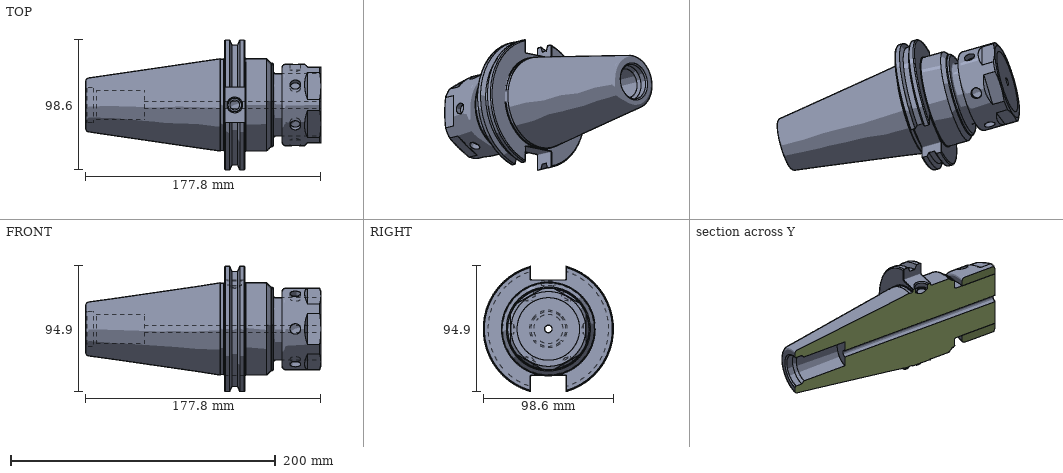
import cadquery as cq
import math

TOTAL_LENGTH = 177.8

GAUGE_X = 101.5
GAUGE_DIAMETER = 69.9
GAUGE_RADIUS = GAUGE_DIAMETER / 2
TAPER_RATIO = 7 / 24
TAIL_RADIUS = GAUGE_RADIUS - GAUGE_X * TAPER_RATIO / 2
TAIL_FILLET = 2.7
RELIEF_CHAMFER = 0.4
RELIEF_RADIUS = GAUGE_RADIUS - RELIEF_CHAMFER
FLANGE_ROOT_FILLET = 0.5

FLANGE_X = 104.7
FLANGE_WIDTH = 15.8
FLANGE_END_X = FLANGE_X + FLANGE_WIDTH
FLANGE_MID_X = FLANGE_X + FLANGE_WIDTH / 2
FLANGE_RADIUS = 49.3
FLANGE_CHAMFER = 0.9
GROOVE_DEPTH = 3.7
GROOVE_FLOOR_WIDTH = 4.3
GROOVE_SIDE_ANGLE = 24
SLOT_WIDTH = 26.8
SLOT_CORNER_RADIUS = 0.7
SLOT_EDGE_CHAMFER = 0.4
TOP_SLOT_FLOOR = 37.2
BOTTOM_SLOT_FLOOR = 35.2

CHIP_HOLE_DIAMETER = 10.1
CHIP_HOLE_MOUTH_DIAMETER = 12.0
CHIP_HOLE_DEPTH = 4.5
CHIP_PILOT_DIAMETER = 7.5
CHIP_PILOT_DEPTH = 0.9

BODY_RADIUS = GAUGE_RADIUS
BODY_END_X = 136.7
COLLAR_X = 140.0
COLLAR_RADIUS = 31.8
COLLAR_CHAMFER = 1.2
COLLAR_END_X = 142.0
NECK_RADIUS = 23.6
NECK_FILLET = 1.2

BORE_MOUTH_DIAMETER = 28.5
BORE_PILOT_DIAMETER = 26.3
BORE_PILOT_END_X = 6.0
BORE_DIAMETER = 22.0
BORE_DEPTH = 44.5
THROUGH_HOLE_DIAMETER = 5.5

NUT_X = 148.3
NUT_RADIUS = 31.0
NUT_REAR_FILLET = 3.0
NUT_FRONT_CHAMFER_LENGTH = 1.0
NUT_FRONT_RADIUS = 28.3
FLAT_COUNT = 6
FLAT_APOTHEM = 28.6
FLAT_X = 167.7
FLAT_RUNOUT_ANGLE = 45
SPANNER_HOLE_DIAMETER = 8.0
SPANNER_HOLE_X = 158.5
SPANNER_HOLE_DEPTH = 4.5

DRILL_TIP_ANGLE = 140

CLEARANCE = 1.8


def revolve_about_x(profile):
    """Turn an XY outline, with Y as the radius, about the X axis."""
    return profile.close().revolve(360, (0, 0, 0), (1, 0, 0))


def drill_tool(diameter, depth):
    """Drill on the Z axis entering the plane Z = 0: its pointed tip lies below -depth."""
    radius = diameter / 2
    tip_length = radius / math.tan(math.radians(DRILL_TIP_ANGLE / 2))
    return (
        cq.Workplane("XZ")
        .moveTo(0, depth)
        .lineTo(radius, depth)
        .lineTo(radius, -depth)
        .lineTo(0, -depth - tip_length)
        .close()
        .revolve(360, (0, 0, 0), (0, 1, 0))
    )


def taper_shank():
    """Steep taper with a rounded tail and a relief neck before the flange."""
    shank = revolve_about_x(
        cq.Workplane("XY")
        .lineTo(0, TAIL_RADIUS)
        .lineTo(GAUGE_X, GAUGE_RADIUS)
        .lineTo(GAUGE_X + RELIEF_CHAMFER, RELIEF_RADIUS)
        .lineTo(FLANGE_X - FLANGE_ROOT_FILLET, RELIEF_RADIUS)
        .radiusArc((FLANGE_X, RELIEF_RADIUS + FLANGE_ROOT_FILLET), -FLANGE_ROOT_FILLET)
        .lineTo(FLANGE_X, 0)
    )
    return shank.faces("<X").edges().fillet(TAIL_FILLET)


def drive_slot(floor_height):
    """Cutter for one drive slot that is open towards +Z."""
    slot_height = FLANGE_RADIUS - floor_height + CLEARANCE
    return (
        cq.Workplane("XY")
        .box(FLANGE_WIDTH, SLOT_WIDTH, slot_height, centered=(True, True, False))
        .edges("|X and <Z")
        .fillet(SLOT_CORNER_RADIUS)
        .translate((FLANGE_MID_X, 0, floor_height))
    )


def flange():
    """Grooved disc with two drive slots whose edges are broken on both faces."""
    groove_floor_radius = FLANGE_RADIUS - GROOVE_DEPTH
    floor_half = GROOVE_FLOOR_WIDTH / 2
    mouth_half = floor_half + GROOVE_DEPTH * math.tan(math.radians(GROOVE_SIDE_ANGLE))
    disc = revolve_about_x(
        cq.Workplane("XY")
        .moveTo(FLANGE_X, 0)
        .lineTo(FLANGE_X, FLANGE_RADIUS - FLANGE_CHAMFER)
        .lineTo(FLANGE_X + FLANGE_CHAMFER, FLANGE_RADIUS)
        .lineTo(FLANGE_MID_X - mouth_half, FLANGE_RADIUS)
        .lineTo(FLANGE_MID_X - floor_half, groove_floor_radius)
        .lineTo(FLANGE_MID_X + floor_half, groove_floor_radius)
        .lineTo(FLANGE_MID_X + mouth_half, FLANGE_RADIUS)
        .lineTo(FLANGE_END_X - FLANGE_CHAMFER, FLANGE_RADIUS)
        .lineTo(FLANGE_END_X, FLANGE_RADIUS - FLANGE_CHAMFER)
        .lineTo(FLANGE_END_X, 0)
    )
    upper_slot = drive_slot(TOP_SLOT_FLOOR)
    lower_slot = drive_slot(BOTTOM_SLOT_FLOOR).rotate((0, 0, 0), (1, 0, 0), 180)
    slotted = disc.cut(upper_slot).cut(lower_slot)
    slot_zone = cq.selectors.BoxSelector(
        (FLANGE_X - CLEARANCE, -SLOT_WIDTH, -FLANGE_RADIUS),
        (FLANGE_END_X + CLEARANCE, SLOT_WIDTH, FLANGE_RADIUS),
    )
    return slotted.faces("<X or >X").edges(slot_zone).chamfer(SLOT_EDGE_CHAMFER)


def chip_hole():
    """Cutter for the countersunk, stepped hole in the upper slot floor."""
    radius = CHIP_HOLE_DIAMETER / 2
    mouth_radius = CHIP_HOLE_MOUTH_DIAMETER / 2
    mouth = (
        cq.Workplane("XZ")
        .lineTo(mouth_radius, 0)
        .lineTo(radius, radius - mouth_radius)
        .lineTo(radius, -CHIP_HOLE_DEPTH)
        .lineTo(0, -CHIP_HOLE_DEPTH)
        .close()
        .revolve(360, (0, 0, 0), (0, 1, 0))
    )
    pilot = drill_tool(CHIP_PILOT_DIAMETER, CHIP_HOLE_DEPTH + CHIP_PILOT_DEPTH)
    return mouth.union(pilot).translate((FLANGE_MID_X, 0, TOP_SLOT_FLOOR))


def front_body():
    """Cylinder, shoulder cone and collar in front of the flange, with the neck that fills the nut."""
    return revolve_about_x(
        cq.Workplane("XY")
        .moveTo(FLANGE_END_X, 0)
        .lineTo(FLANGE_END_X, BODY_RADIUS + FLANGE_ROOT_FILLET)
        .radiusArc((FLANGE_END_X + FLANGE_ROOT_FILLET, BODY_RADIUS), -FLANGE_ROOT_FILLET)
        .lineTo(BODY_END_X, BODY_RADIUS)
        .lineTo(COLLAR_X, COLLAR_RADIUS)
        .lineTo(COLLAR_END_X - COLLAR_CHAMFER, COLLAR_RADIUS)
        .lineTo(COLLAR_END_X, COLLAR_RADIUS - COLLAR_CHAMFER)
        .lineTo(COLLAR_END_X, NECK_RADIUS + NECK_FILLET)
        .radiusArc((COLLAR_END_X + NECK_FILLET, NECK_RADIUS), -NECK_FILLET)
        .lineTo(TOTAL_LENGTH, NECK_RADIUS)
        .lineTo(TOTAL_LENGTH, 0)
    )


def tail_bore():
    """Cutter for the stepped bore in the tail and the through hole along the axis."""
    mouth_radius = BORE_MOUTH_DIAMETER / 2
    pilot_radius = BORE_PILOT_DIAMETER / 2
    bore_radius = BORE_DIAMETER / 2
    through_radius = THROUGH_HOLE_DIAMETER / 2
    return revolve_about_x(
        cq.Workplane("XY")
        .lineTo(0, mouth_radius)
        .lineTo(mouth_radius - pilot_radius, pilot_radius)
        .lineTo(BORE_PILOT_END_X, pilot_radius)
        .lineTo(BORE_PILOT_END_X + pilot_radius - bore_radius, bore_radius)
        .lineTo(BORE_DEPTH, bore_radius)
        .lineTo(BORE_DEPTH, through_radius)
        .lineTo(TOTAL_LENGTH, through_radius)
        .lineTo(TOTAL_LENGTH, 0)
    )


def make_holder():
    solid = taper_shank().union(flange()).union(front_body())
    return solid.cut(tail_bore()).cut(chip_hole())


def nut_blank():
    """Ring that fits the neck, rounded at the rear and chamfered at the front."""
    return revolve_about_x(
        cq.Workplane("XY")
        .moveTo(NUT_X, NECK_RADIUS)
        .lineTo(NUT_X, NUT_RADIUS - NUT_REAR_FILLET)
        .radiusArc((NUT_X + NUT_REAR_FILLET, NUT_RADIUS), NUT_REAR_FILLET)
        .lineTo(TOTAL_LENGTH - NUT_FRONT_CHAMFER_LENGTH, NUT_RADIUS)
        .lineTo(TOTAL_LENGTH, NUT_FRONT_RADIUS)
        .lineTo(TOTAL_LENGTH, NECK_RADIUS)
    )


def wrench_flat():
    """Cutter for one flat facing +Z, with a slanted run-out at its rear end."""
    rise = NUT_RADIUS - FLAT_APOTHEM + CLEARANCE
    runout = rise / math.tan(math.radians(FLAT_RUNOUT_ANGLE))
    return (
        cq.Workplane("XZ")
        .moveTo(FLAT_X, FLAT_APOTHEM)
        .lineTo(FLAT_X - runout, FLAT_APOTHEM + rise)
        .lineTo(TOTAL_LENGTH, FLAT_APOTHEM + rise)
        .lineTo(TOTAL_LENGTH, FLAT_APOTHEM)
        .close()
        .extrude(NUT_RADIUS, both=True)
    )


def make_nut():
    nut = nut_blank()
    flat = wrench_flat()
    spanner_hole = drill_tool(SPANNER_HOLE_DIAMETER, SPANNER_HOLE_DEPTH).translate(
        (SPANNER_HOLE_X, 0, NUT_RADIUS)
    )
    pitch = 360 / FLAT_COUNT
    for index in range(FLAT_COUNT):
        angle = (index + 0.5) * pitch
        nut = nut.cut(flat.rotate((0, 0, 0), (1, 0, 0), angle))
        nut = nut.cut(spanner_hole.rotate((0, 0, 0), (1, 0, 0), angle))
    return nut


holder = make_holder()
nut = make_nut()
result = cq.Compound.makeCompound([holder.val(), nut.val()])